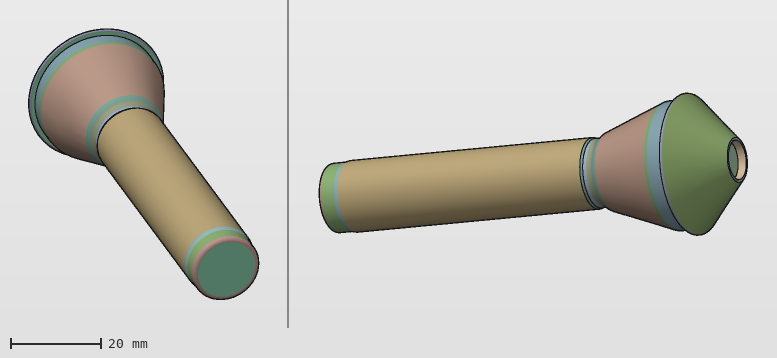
import cadquery as cq
import math

total_length = 100.0

tip_radius = 5.0
rim_radius = 15.8
cap_length = 11.6
rim_round = 0.5
bore_radius = 4.4
bore_depth = 2.0

collar_radius = 29.0 / 2
collar_end_x = 15.0
shoulder_end_x = 15.8
taper_end_x = 30.6
taper_end_radius = 9.0
fillet_start_x = 31.8
fillet_start_radius = 8.3
neck_radius = 15.5 / 2
neck_start_x = 33.5
grip_radius = 16.0 / 2
grip_start_x = 35.0
grip_end_x = 94.8
front_chamfer_length = 0.6
rear_chamfer_length = 1.1
end_round = 1.0

taper_angle = math.radians(19.7)
shoulder_radius = (shoulder_end_x - collar_end_x) / math.sin(taper_angle)
shoulder_drop = shoulder_radius * (1 - math.cos(taper_angle))


def revolve_about_x(profile):
    return profile.close().revolve(360, (0, 0, 0), (1, 0, 0))


def make_nose_cap():
    """Cone with a rounded rim and a shallow blind bore in its tip."""
    rim_centre_x = cap_length - rim_round
    rim_centre_radius = rim_radius - rim_round
    tangent_offset = rim_round * math.sin(math.pi / 4)
    profile = (
        cq.Workplane("XY")
        .moveTo(bore_depth, 0)
        .lineTo(bore_depth, bore_radius)
        .lineTo(0, bore_radius)
        .lineTo(0, tip_radius)
        .lineTo(rim_centre_x - tangent_offset, rim_centre_radius + tangent_offset)
        .threePointArc(
            (rim_centre_x, rim_radius),
            (cap_length, rim_centre_radius),
        )
        .lineTo(cap_length, 0)
    )
    return revolve_about_x(profile)


def make_handle():
    """Collar tapering to a necked, round grip with a reduced end."""
    round_middle = end_round * math.sin(math.pi / 4)
    profile = (
        cq.Workplane("XY")
        .moveTo(cap_length, 0)
        .lineTo(cap_length, collar_radius)
        .lineTo(collar_end_x, collar_radius)
        .tangentArcPoint((shoulder_end_x, collar_radius - shoulder_drop), relative=False)
        .lineTo(taper_end_x, taper_end_radius)
        .tangentArcPoint((fillet_start_x, fillet_start_radius), relative=False)
        .tangentArcPoint((neck_start_x, neck_radius), relative=False)
        .lineTo(grip_start_x - front_chamfer_length, neck_radius)
        .lineTo(grip_start_x, grip_radius)
        .lineTo(grip_end_x, grip_radius)
        .lineTo(grip_end_x + rear_chamfer_length, neck_radius)
        .lineTo(total_length - end_round, neck_radius)
        .threePointArc(
            (total_length - end_round + round_middle, neck_radius - end_round + round_middle),
            (total_length, neck_radius - end_round),
        )
        .lineTo(total_length, 0)
    )
    return revolve_about_x(profile)


nose_cap = make_nose_cap()
handle = make_handle()

result = cq.Compound.makeCompound([nose_cap.val(), handle.val()])